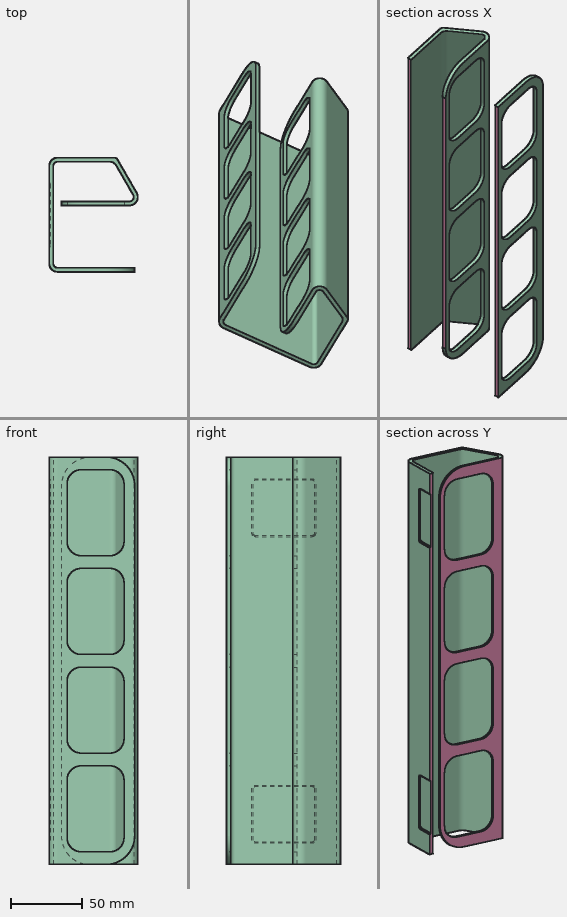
import cadquery as cq
import math

height = 285.0
width = 62.0
depth = 80.0
bend_radius = 6.0
sheet = bend_radius / 2
slant_outer_radius = 2.8
slant_inner_radius = 5.0
slant_angle = 60.0

front_flange_end = 59.8
inner_flange_start = 8.5
inner_flange_front = 46.5
flange_corner_radius = 20.0

window_count = 4
window_gap = 8.8
window_left = 12.5
window_width = 40.0
window_radius = 10.0
window_height = (height - (window_count + 1) * window_gap) / window_count
window_pitch = window_height + window_gap

recess_width = 45.0
recess_height = 40.5
recess_radius = 2.8
recess_depth = 0.9
recess_wall_run = 0.9
recess_margin = 15.0


def slant_corner_x(offset):
    """X where the slanted face meets the back face, both moved inward by offset."""
    slope = math.radians(slant_angle)
    bend_x = width - bend_radius
    bend_y = inner_flange_front + bend_radius
    rise = depth - offset - bend_y
    return bend_x + (bend_radius - offset) / math.sin(slope) - rise / math.tan(slope)


def slant_foot_x(offset):
    """X where the slanted face meets the inner flange, both moved inward by offset."""
    drop = depth - inner_flange_front - 2 * offset
    return slant_corner_x(offset) + drop / math.tan(math.radians(slant_angle))


def vertical_edge(x, y):
    tolerance = 0.03
    return cq.selectors.BoxSelector(
        (x - tolerance, y - tolerance, -2.8), (x + tolerance, y + tolerance, height + 2.8)
    )


def folded_sheet():
    inner_front = inner_flange_front + sheet
    back = depth - sheet
    outer_bends = [
        (0, 0, bend_radius),
        (0, depth, bend_radius),
        (slant_corner_x(0), depth, slant_outer_radius),
        (slant_foot_x(0), inner_flange_front, bend_radius),
    ]
    inner_bends = [
        (sheet, sheet, bend_radius - sheet),
        (sheet, back, bend_radius - sheet),
        (slant_corner_x(sheet), back, slant_inner_radius),
        (slant_foot_x(sheet), inner_front, bend_radius - sheet),
    ]
    outline = (
        [(front_flange_end, 0)]
        + [(x, y) for x, y, _ in outer_bends]
        + [(inner_flange_start, inner_flange_front), (inner_flange_start, inner_front)]
        + [(x, y) for x, y, _ in reversed(inner_bends)]
        + [(front_flange_end, sheet)]
    )
    body = cq.Workplane("XY").polyline(outline).close().extrude(height)
    for x, y, radius in outer_bends + inner_bends:
        body = body.edges(vertical_edge(x, y)).fillet(radius)
    return body


def round_flange_corners(body):
    free_edges = [
        (front_flange_end, sheet / 2),
        (inner_flange_start, inner_flange_front + sheet / 2),
    ]
    for x, y in free_edges:
        for z in (0, height):
            corner = cq.selectors.NearestToPointSelector((x, y, z))
            body = body.edges("|Y").edges(corner).fillet(flange_corner_radius)
    return body


def windows():
    reach = inner_flange_front + 2 * sheet
    centers = [
        (window_left + window_width / 2, window_gap + window_height / 2 + i * window_pitch)
        for i in range(window_count)
    ]
    return (
        cq.Workplane("XZ")
        .pushPoints(centers)
        .rect(window_width, window_height)
        .extrude(-reach)
        .edges("|Y")
        .fillet(window_radius)
    )


def recesses():
    taper = math.degrees(math.atan(recess_wall_run / recess_depth))
    rounded_rectangle = (
        cq.Sketch().rect(recess_width, recess_height).vertices().fillet(recess_radius)
    )
    end_distance = recess_margin + recess_height / 2
    centers = [(depth / 2, end_distance), (depth / 2, height - end_distance)]
    return (
        cq.Workplane("YZ")
        .pushPoints(centers)
        .placeSketch(rounded_rectangle)
        .extrude(recess_depth, taper=taper)
    )


result = (
    round_flange_corners(folded_sheet())
    .cut(windows())
    .cut(recesses())
)